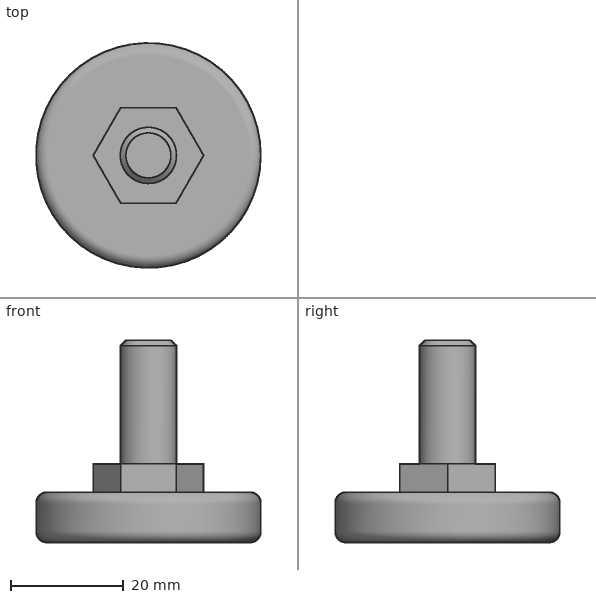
import cadquery as cq
import math

pad_diameter = 40
pad_height = 9.0
pad_edge_radius = 2

hex_across_flats = 17.0
hex_height = 5.0
hex_across_corners = hex_across_flats / math.cos(math.radians(30))

stud_diameter = 10
stud_tip_chamfer = 1.0
total_height = 36
stud_height = total_height - pad_height - hex_height


def make_pad():
    """Disc with both rims rounded, resting on Z = 0."""
    disc = cq.Workplane("XY").circle(pad_diameter / 2).extrude(pad_height)
    return disc.faces("<Z or >Z").edges().fillet(pad_edge_radius)


def make_hex():
    """Hexagonal prism standing on the pad."""
    base = cq.Workplane("XY").workplane(offset=pad_height)
    return base.polygon(6, hex_across_corners).extrude(hex_height)


def make_stud():
    """Plain cylinder with a chamfered tip, standing on the hexagon."""
    base = cq.Workplane("XY").workplane(offset=pad_height + hex_height)
    stud = base.circle(stud_diameter / 2).extrude(stud_height)
    return stud.faces(">Z").edges().chamfer(stud_tip_chamfer)


result = make_pad().union(make_hex()).union(make_stud())